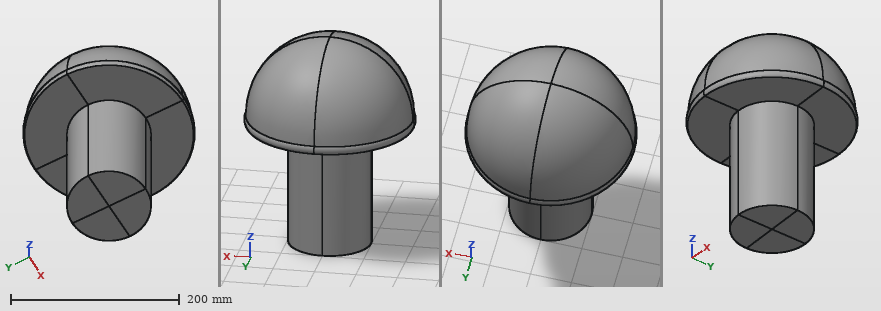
import cadquery as cq
import math

total_height = 260.0
overall_diameter = 203.5
dome_radius = 100.0
rim_height = 10.0
stem_radius = 50.0
quarter_count = 4

quarter_angle = 360 / quarter_count
rim_radius = overall_diameter / 2
rim_top = total_height - dome_radius
stem_height = rim_top - rim_height
rim_middle = rim_top - rim_height / 2
dome_midpoint = dome_radius * math.sqrt(0.5)


def half_profile():
    """Radial section of the stem, the bulging rim and the dome."""
    return (
        cq.Workplane("XZ")
        .lineTo(stem_radius, 0)
        .lineTo(stem_radius, stem_height)
        .lineTo(dome_radius, stem_height)
        .threePointArc((rim_radius, rim_middle), (dome_radius, rim_top))
        .threePointArc((dome_midpoint, rim_top + dome_midpoint), (0, total_height))
        .close()
    )


def make_quarter(start_angle):
    """One quarter of the mushroom, a sector swept about the Z axis."""
    sector = half_profile().revolve(quarter_angle, (0, 0), (0, 1))
    return sector.rotate((0, 0, 0), (0, 0, 1), start_angle)


quarters = []
for index in range(quarter_count):
    quarters.append(make_quarter(index * quarter_angle))

result = cq.Compound.makeCompound([quarter.val() for quarter in quarters])